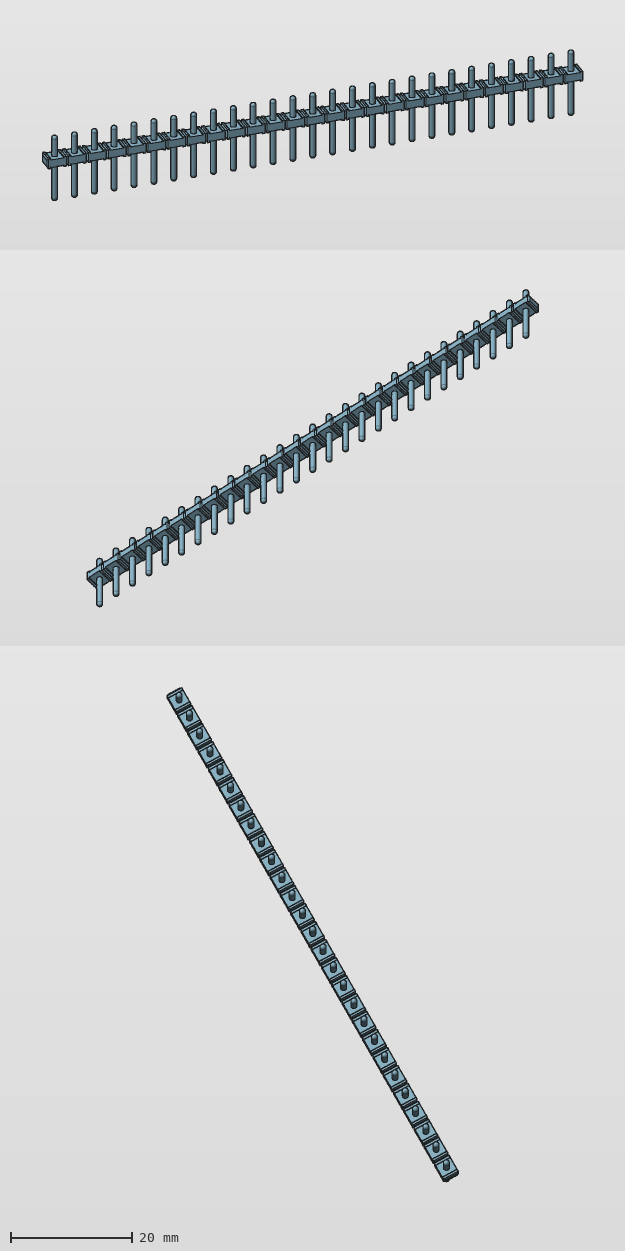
import math

import cadquery as cq

pin_count = 27
pitch = 3.5
first_pin_y = -(pin_count - 1) * pitch / 2

body_width = 2.8
body_height = 1.8
end_taper_length = 0.2
end_taper_inset = 0.3

recess_length = 2.3
recess_depth = 0.2

pin_diameter = 1.0
pin_above_body = 3.5
pin_below_body = 6.7


def tapered_end(direction):
    """End of a cell, narrowing on all four sides to the neck shared with the next cell."""
    taper_start_y = direction * (pitch / 2 - end_taper_length)
    plane = cq.Plane(origin=(0, taper_start_y, 0), xDir=(1, 0, 0), normal=(0, direction, 0))
    return (
        cq.Workplane(plane)
        .rect(body_width, body_height)
        .workplane(offset=end_taper_length)
        .rect(body_width - 2 * end_taper_inset, body_height - 2 * end_taper_inset)
        .loft(ruled=True)
    )


def recess(side):
    """Cutter for the recess across the full width of the top (+1) or bottom (-1) face."""
    centre_z = side * (body_height - recess_depth) / 2
    return cq.Workplane("XY").box(body_width, recess_length, recess_depth).translate((0, 0, centre_z))


def body_cell():
    """Block tapered at both Y ends and recessed above and below."""
    block = cq.Workplane("XY").box(body_width, pitch - 2 * end_taper_length, body_height)
    block = block.union(tapered_end(1)).union(tapered_end(-1))
    return block.cut(recess(1)).cut(recess(-1))


def pin():
    """Round pin with a hemisphere at both ends, revolved about its own axis."""
    radius = pin_diameter / 2
    arc_reach = radius * math.sqrt(0.5)
    upper_dome_z = body_height / 2 + pin_above_body - radius
    lower_dome_z = -body_height / 2 - pin_below_body + radius
    return (
        cq.Workplane("XZ")
        .moveTo(0, lower_dome_z - radius)
        .threePointArc((arc_reach, lower_dome_z - arc_reach), (radius, lower_dome_z))
        .lineTo(radius, upper_dome_z)
        .threePointArc((arc_reach, upper_dome_z + arc_reach), (0, upper_dome_z + radius))
        .close()
        .revolve(360, (0, 0, 0), (0, 1, 0))
    )


pole = body_cell().union(pin()).val()
pin_positions = [(0, first_pin_y + index * pitch) for index in range(pin_count)]
result = (
    cq.Workplane("XY")
    .pushPoints(pin_positions)
    .eachpoint(lambda location: pole.moved(location), combine=True)
)